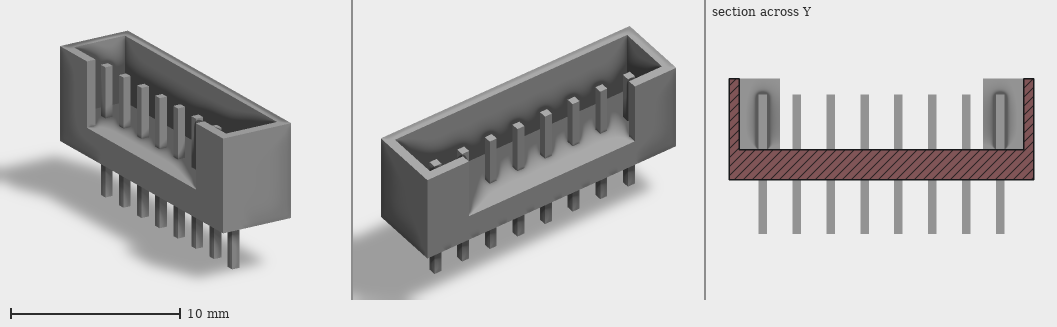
import cadquery as cq

length = 18.0
depth = 4.75
height = 6.0
wall = 0.6
end_wall = 0.61
cavity_depth = 4.2
window_width = 12.0

pin_count = 8
pitch = 2.0
pin_size = 0.5
pin_tail = 3.2
pin_tip_recess = 0.97
pin_row_offset = 2.0

floor_z = height - cavity_depth
front_y = -depth / 2
pin_row_y = front_y + pin_row_offset


def block(size_x, size_y, bottom, top, center_y=0):
    """Upright block centred on X, spanning bottom to top in Z."""
    return (
        cq.Workplane("XY", origin=(0, center_y, bottom))
        .rect(size_x, size_y)
        .extrude(top - bottom)
    )


housing = block(length, depth, 0, height)
cavity = block(length - 2 * end_wall, depth - 2 * wall, floor_z, height)
window = block(window_width, wall, floor_z, height, front_y + wall / 2)
housing = housing.cut(cavity).cut(window)

pins = (
    cq.Workplane("XY", origin=(0, pin_row_y, -pin_tail))
    .rarray(pitch, pitch, pin_count, 1)
    .rect(pin_size, pin_size)
    .extrude(pin_tail + height - pin_tip_recess)
)

result = housing.union(pins)